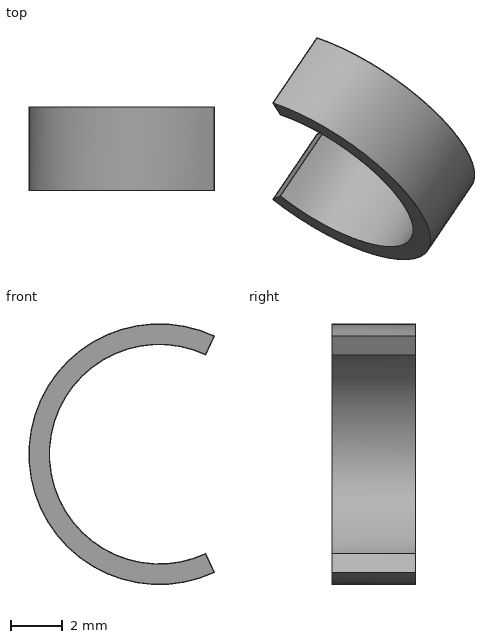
import cadquery as cq
import math

outer_radius = 5.05
wall_thickness = 0.8
ring_width = 3.25
half_opening_angle = 65.0

inner_radius = outer_radius - wall_thickness


def ring_point(radius, angle):
    """Point in the XZ plane at an angle in degrees measured from +X toward +Z."""
    return (
        radius * math.cos(math.radians(angle)),
        radius * math.sin(math.radians(angle)),
    )


def make_ring():
    """C-shaped profile with radial end faces, extruded evenly about the XZ plane."""
    upper_end = half_opening_angle
    middle = 180.0
    lower_end = -half_opening_angle
    profile = (
        cq.Workplane("XZ")
        .moveTo(*ring_point(outer_radius, upper_end))
        .threePointArc(ring_point(outer_radius, middle), ring_point(outer_radius, lower_end))
        .lineTo(*ring_point(inner_radius, lower_end))
        .threePointArc(ring_point(inner_radius, middle), ring_point(inner_radius, upper_end))
        .close()
    )
    return profile.extrude(ring_width / 2, both=True)


result = make_ring()